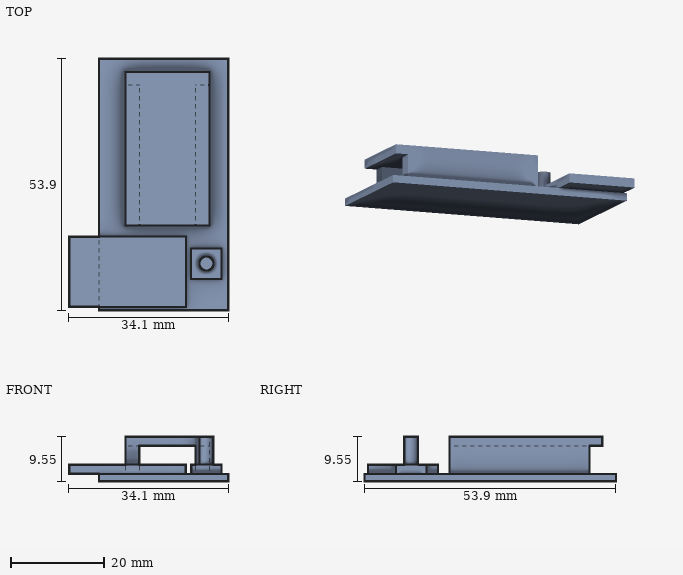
import cadquery as cq

board_width = 27.7
board_length = 53.85
board_thickness = 1.6

module_width = 25.0
module_length = 15.0
module_overhang = 6.4
module_front_margin = 0.75

cover_width = 18.0
cover_height = 7.95
cover_left = 5.65
cover_front = 18.2
cover_roof_length = 32.75
cover_wall_length = 30.0
cover_wall_thickness = 3.0

switch_side = 6.5
switch_center_x = 23.0
switch_center_y = 10.0
pin_diameter = 3.0

plate_thickness = 2.0


def block(left, front, bottom, width, length, height):
    """Box placed by its front left bottom corner."""
    return cq.Workplane("XY").box(width, length, height, centered=False).translate((left, front, bottom))


def make_board():
    return block(0, 0, 0, board_width, board_length, board_thickness)


def make_module():
    return block(
        -module_overhang, module_front_margin, board_thickness,
        module_width, module_length, plate_thickness,
    )


def make_cover():
    """Roof on two side walls, with the roof running past the walls at the back."""
    roof_bottom = board_thickness + cover_height - plate_thickness
    cover = block(
        cover_left, cover_front, roof_bottom,
        cover_width, cover_roof_length, plate_thickness,
    )
    right_wall_left = cover_left + cover_width - cover_wall_thickness
    for wall_left in (cover_left, right_wall_left):
        wall = block(
            wall_left, cover_front, board_thickness,
            cover_wall_thickness, cover_wall_length, cover_height,
        )
        cover = cover.union(wall)
    return cover


def make_switch():
    """Square body with a pin reaching the height of the cover."""
    body = block(
        switch_center_x - switch_side / 2, switch_center_y - switch_side / 2, board_thickness,
        switch_side, switch_side, plate_thickness,
    )
    pin = (
        cq.Workplane("XY", origin=(switch_center_x, switch_center_y, board_thickness))
        .circle(pin_diameter / 2)
        .extrude(cover_height)
    )
    return body.union(pin)


result = make_board().union(make_module()).union(make_cover()).union(make_switch())